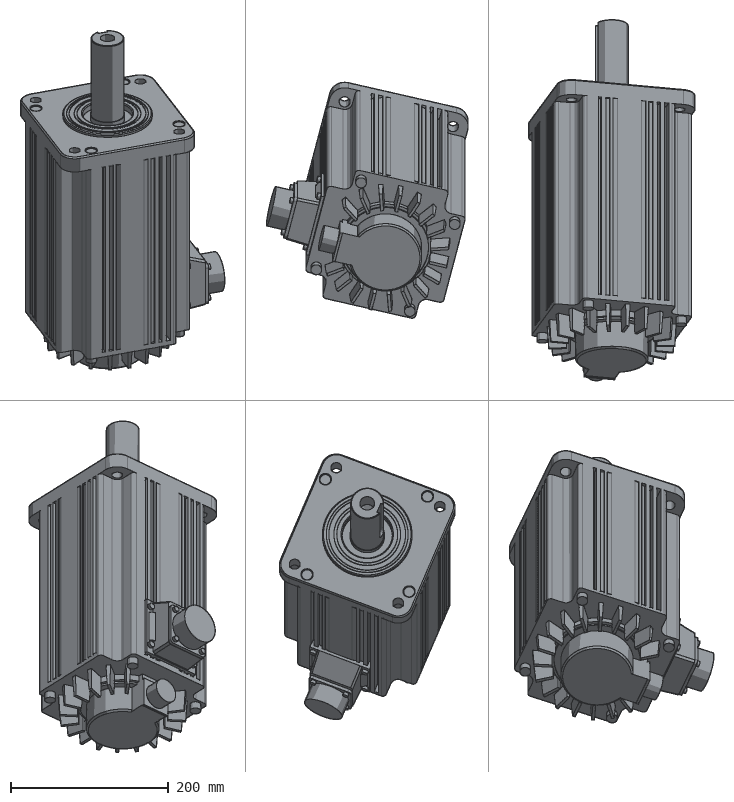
import cadquery as cq
import math


overall_height = 454.5
cover_bottom = 1.0
fin_tip_z = 19.0
cover_flange_z = 37.0
hub_disc_z = 39.5
end_plate_bottom = 47.7
body_bottom = 54.5
flange_bottom = 321.5
flange_top = 342.5
pilot_top = 346.5

side = 180.0
half_side = side / 2
flange_corner_radius = 19.5
flange_edge_chamfer = 2.0
mount_hole_spacing = 141.5
mount_hole_diameter = 13.5

notch_floor = 60.5
notch_inner_radius = 10.0
notch_edge_radius = 5.0

core_radius = 91.5
paired_slots = [(15.5, 21.5), (25.5, 31.0), (36.5, 40.5)]
single_slot = (46.0, 51.5)

tie_bolt_along = 51.0
tie_bolt_across = 77.8
tie_bolt_head_radius = 7.0
tie_bolt_head_height = 9.5
tie_recess_radius = 7.7
tie_recess_depth = 1.5
tie_recess_chamfer = 1.0

pilot_radius = 57.0
pilot_chamfer = 1.5
pilot_grooves = [(48.5, 52.0), (38.5, 42.5)]
groove_depth = 1.5
seal_recess_radius = 32.0
seal_recess_chamfer = 1.5
seal_recess_floor = 338.0
collar_radius = 22.0
collar_top = 344.5
shaft_radius = 21.0
key_width = 12.7
key_depth = 5.0
key_length = 89.5
key_floor_fillet = 1.0
shaft_end_chamfer = 1.0
center_hole_radius = 9.0
center_hole_depth = 27.5
drill_point_angle = 118

cover_radius = 46.0
cover_chamfer = 2.5
cover_flange_radius = 54.5
hub_disc_radius = 58.0
fin_pitch = 18
first_fin_angle = 126
fin_count = 17
fin_inner_radius = 57.5
fin_root_radius = 82.0
fin_tip_radius = 80.0
fin_root_thickness = 6.0
fin_tip_thickness = 3.5

encoder_width = 40.0
encoder_box_y = 61.0
encoder_plate_y = 64.0
encoder_plate_top = 40.0
encoder_plug_y = 83.5
encoder_plug_diameter = 32.5
encoder_plug_z = 20.0

power_base_y = 93.5
power_base_half_width = 41.0
power_base_bottom = 56.5
power_base_top = 136.0
power_box_base_half_width = 30.5
power_box_front_half_width = 29.0
power_box_y = 122.0
power_box_bottom = 58.0
power_box_front_bottom = 60.0
power_box_front_top = 124.5
power_box_chamfer = 2.7
power_plate_y = 126.0
power_plate_width = 57.5
power_plate_corner = 4.5
power_plug_y = 149.0
power_plug_diameter = 51.5
power_plug_z = 89.0
plate_screw_offset = 22.5
plate_screw_radius = 3.5
base_screw_x = 35.5
base_screw_heights = (68.5, 126.0)
base_screw_radius = 4.0
screw_head_height = 4.0
gusset_bottom = 75.5
gusset_top = 117.8
gusset_y = 99.0
gusset_half_width = 37.7


def disc(radius, bottom, top):
    """Cylinder on the motor axis."""
    return cq.Workplane("XY").workplane(offset=bottom).circle(radius).extrude(top - bottom)


def block(x_range, y_range, z_range):
    """Box given by its limits along each axis."""
    size = [end - start for start, end in (x_range, y_range, z_range)]
    start = (x_range[0], y_range[0], z_range[0])
    return cq.Workplane("XY").box(*size, centered=False).translate(start)


def rod_along_y(x, z, radius, start_y, end_y):
    """Cylinder parallel to Y."""
    plane = cq.Plane(origin=(x, start_y, z), xDir=(1, 0, 0), normal=(0, 1, 0))
    return cq.Workplane(plane).circle(radius).extrude(end_y - start_y)


def quarter_turns(shape):
    """The shape and its three copies turned about the motor axis."""
    copies = [shape.rotate((0, 0, 0), (0, 0, 1), 90 * turn) for turn in range(4)]
    merged = copies[0]
    for copy in copies[1:]:
        merged = merged.union(copy)
    return merged


def make_notched_column():
    """Square column with a rounded notch along each corner: body and end plate together."""
    z_range = (end_plate_bottom, flange_bottom)
    column = block((-half_side, half_side), (-half_side, half_side), z_range)
    notch = block((notch_floor, side), (notch_floor, side), z_range)
    notch = notch.edges("|Z and <X and <Y").fillet(notch_inner_radius)
    column = column.cut(quarter_turns(notch))

    def on_outer_face(edge):
        center = edge.Center()
        return math.isclose(max(abs(center.x), abs(center.y)), half_side)

    return column.edges("|Z").filter(on_outer_face).fillet(notch_edge_radius)


def make_cooling_slots():
    """Lengthwise slots of all four body faces, with floors on the round core."""
    mirrored_slots = [(-end, -start) for start, end in paired_slots]
    z_range = (body_bottom, flange_bottom)
    face_slots = cq.Workplane("XY")
    for slot in paired_slots + mirrored_slots + [single_slot]:
        face_slots = face_slots.union(block(slot, (-side, -notch_floor), z_range))
    return quarter_turns(face_slots.cut(disc(core_radius, body_bottom, flange_bottom)))


def make_flange():
    """Square mounting flange with rounded corners and four through holes."""
    thickness = flange_top - flange_bottom
    flange = cq.Workplane("XY").workplane(offset=flange_bottom).rect(side, side).extrude(thickness)
    flange = flange.edges("|Z").fillet(flange_corner_radius)
    flange = flange.faces(">Z").chamfer(flange_edge_chamfer)
    return (
        flange.faces(">Z")
        .workplane()
        .rect(mount_hole_spacing, mount_hole_spacing, forConstruction=True)
        .vertices()
        .hole(mount_hole_diameter)
    )


def at_tie_bolts(shape):
    """Copies of a shape, given on the motor axis, on the four tie bolt axes."""
    return quarter_turns(shape.translate((-tie_bolt_along, -tie_bolt_across, 0)))


def make_tie_bolt_heads():
    """Round bolt heads below the end plate."""
    return at_tie_bolts(
        disc(tie_bolt_head_radius, end_plate_bottom - tie_bolt_head_height, end_plate_bottom)
    )


def make_tie_bolt_recesses():
    """Shallow recesses, narrower at the floor, over the tie bolt ends in the flange face."""
    recess = disc(tie_recess_radius, flange_top - tie_recess_depth, flange_top)
    return at_tie_bolts(recess.faces("<Z").edges().chamfer(tie_recess_chamfer))


def make_pilot():
    """Centring pilot with ring grooves in its face."""
    pilot = disc(pilot_radius, flange_top, pilot_top).faces(">Z").edges().chamfer(pilot_chamfer)
    groove_floor = pilot_top - groove_depth
    for inner_radius, outer_radius in pilot_grooves:
        groove = disc(outer_radius, groove_floor, pilot_top)
        pilot = pilot.cut(groove.cut(disc(inner_radius, groove_floor, pilot_top)))
    return pilot


def make_seal_recess():
    """Round recess around the shaft with a chamfered rim, as a solid to cut away."""
    rim_radius = seal_recess_radius + seal_recess_chamfer
    return (
        cq.Workplane("XZ")
        .moveTo(0, pilot_top)
        .lineTo(rim_radius, pilot_top)
        .lineTo(seal_recess_radius, pilot_top - seal_recess_chamfer)
        .lineTo(seal_recess_radius, seal_recess_floor)
        .lineTo(0, seal_recess_floor)
        .close()
        .revolve()
    )


def make_shaft():
    """Keyed shaft with a collar inside the seal recess and a drilled centre hole."""
    shaft = disc(shaft_radius, seal_recess_floor, overall_height)
    shaft = shaft.faces(">Z").chamfer(shaft_end_chamfer)
    shaft = shaft.union(disc(collar_radius, seal_recess_floor, collar_top))
    key_end_center = overall_height - key_length + key_width / 2
    keyway = (
        cq.Workplane("YZ", origin=(-2 * shaft_radius, 0, key_end_center))
        .moveTo(-key_width / 2, key_length)
        .lineTo(-key_width / 2, 0)
        .threePointArc((0, -key_width / 2), (key_width / 2, 0))
        .lineTo(key_width / 2, key_length)
        .close()
        .extrude(shaft_radius + key_depth)
        .faces(">X")
        .edges()
        .fillet(key_floor_fillet)
    )
    drill_point_depth = center_hole_radius / math.tan(math.radians(drill_point_angle / 2))
    hole_bottom = overall_height - center_hole_depth
    center_hole = (
        cq.Workplane("XZ")
        .moveTo(0, overall_height)
        .lineTo(center_hole_radius, overall_height)
        .lineTo(center_hole_radius, hole_bottom)
        .lineTo(0, hole_bottom - drill_point_depth)
        .close()
        .revolve()
    )
    return shaft.cut(keyway).cut(center_hole)


def make_fin():
    """Cooling fin along +X, thinner and shorter toward its tip."""
    length_at_root = fin_root_radius - fin_inner_radius
    length_at_tip = fin_tip_radius - fin_inner_radius
    return (
        cq.Workplane("XY", origin=(fin_inner_radius, 0, end_plate_bottom))
        .center(length_at_root / 2, 0)
        .rect(length_at_root, fin_root_thickness)
        .workplane(offset=fin_tip_z - end_plate_bottom)
        .center((length_at_tip - length_at_root) / 2, 0)
        .rect(length_at_tip, fin_tip_thickness)
        .loft()
    )


def make_rear_end():
    """Rear cover, hub disc and the ring of cooling fins."""
    rear = disc(cover_radius, cover_bottom, end_plate_bottom).faces("<Z").edges().chamfer(cover_chamfer)
    rear = rear.union(disc(cover_flange_radius, cover_flange_z, end_plate_bottom))
    rear = rear.union(disc(hub_disc_radius, hub_disc_z, end_plate_bottom))
    fin = make_fin()
    for index in range(fin_count):
        rear = rear.union(fin.rotate((0, 0, 0), (0, 0, 1), first_fin_angle + index * fin_pitch))
    return rear


def make_encoder_connector():
    """Connector on the +Y side of the rear cover."""
    half_width = encoder_width / 2
    x_range = (-half_width, half_width)
    box = block(x_range, (0, encoder_box_y), (cover_bottom, end_plate_bottom))
    plate = block(x_range, (encoder_box_y, encoder_plate_y), (0, encoder_plate_top))
    plug = rod_along_y(0, encoder_plug_z, encoder_plug_diameter / 2, encoder_box_y, encoder_plug_y)
    return box.union(plate).union(plug)


def make_power_connector():
    """Connector with a sloping box on the +Y face of the body."""
    base = block(
        (-power_base_half_width, power_base_half_width),
        (notch_floor, power_base_y),
        (power_base_bottom, power_base_top),
    )
    side_profile = (
        cq.Workplane("YZ", origin=(-power_box_base_half_width, 0, 0))
        .moveTo(power_base_y, power_box_bottom)
        .lineTo(power_box_y, power_box_front_bottom)
        .lineTo(power_box_y, power_box_front_top)
        .lineTo(power_base_y, power_base_top)
        .close()
        .extrude(2 * power_box_base_half_width)
    )
    tapered_profile = (
        cq.Workplane("XY")
        .moveTo(-power_box_base_half_width, power_base_y)
        .lineTo(power_box_base_half_width, power_base_y)
        .lineTo(power_box_front_half_width, power_box_y)
        .lineTo(-power_box_front_half_width, power_box_y)
        .close()
        .extrude(power_base_top)
    )
    box = side_profile.intersect(tapered_profile)
    box = box.faces("<X or >X").edges("not(|Z)").chamfer(power_box_chamfer)
    gusset = (
        cq.Workplane("XY", origin=(0, 0, gusset_bottom))
        .moveTo(-gusset_half_width, power_base_y)
        .lineTo(gusset_half_width, power_base_y)
        .lineTo(power_box_front_half_width, gusset_y)
        .lineTo(-power_box_front_half_width, gusset_y)
        .close()
        .extrude(gusset_top - gusset_bottom)
    )
    plate = (
        cq.Workplane("XZ", origin=(0, power_plate_y, power_plug_z))
        .rect(power_plate_width, power_plate_width)
        .extrude(power_plate_y - power_box_y)
        .edges("|Y")
        .fillet(power_plate_corner)
    )
    plug = rod_along_y(0, power_plug_z, power_plug_diameter / 2, power_box_y, power_plug_y)
    connector = base.union(box).union(gusset).union(plate).union(plug)

    base_screw_end = power_base_y + screw_head_height
    plate_screw_end = power_plate_y + screw_head_height
    for sign in (-1, 1):
        x = sign * base_screw_x
        for z in base_screw_heights:
            screw = rod_along_y(x, z, base_screw_radius, power_base_y, base_screw_end)
            connector = connector.union(screw)
        x = sign * plate_screw_offset
        for z in (power_plug_z - plate_screw_offset, power_plug_z + plate_screw_offset):
            screw = rod_along_y(x, z, plate_screw_radius, power_plate_y, plate_screw_end)
            connector = connector.union(screw)
    return connector


body = make_notched_column().cut(make_cooling_slots())
body = body.union(make_flange())
body = body.union(make_tie_bolt_heads())
body = body.cut(make_tie_bolt_recesses())
body = body.union(make_pilot()).cut(make_seal_recess())

result = (
    body.union(make_shaft())
    .union(make_rear_end())
    .union(make_encoder_connector())
    .union(make_power_connector())
)